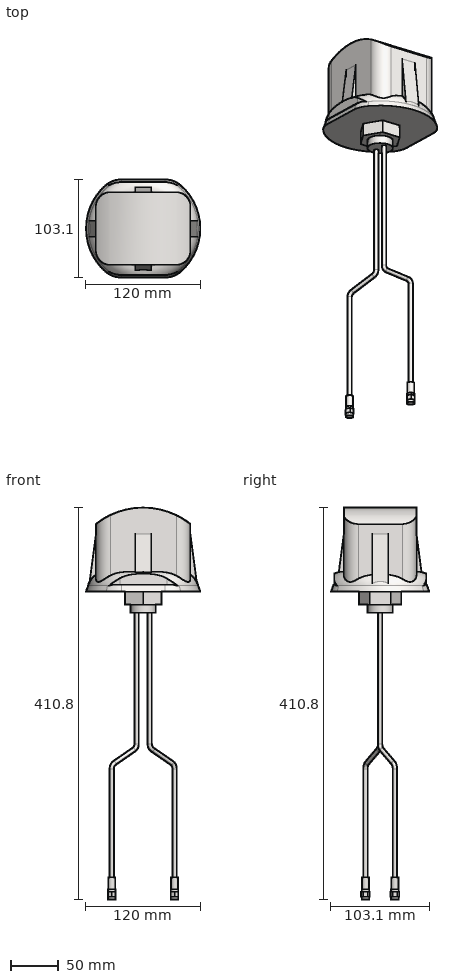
import cadquery as cq
import math


overall_height = 410.82

flange_radius = 60.0
flange_half_depth = 51.54
flange_corner_radius = 25.0
flange_height = 7.4
flange_draft = 20.0

stud_diameter = 26.7
stud_length = 22.2
nut_across_flats = 38.5
nut_height = 13.6

skirt_radius = 58.0
skirt_half_depth = 48.3
skirt_corner_radius = 22.0
skirt_top = 20.9
skirt_fillet = 18.0
body_half_width = 49.5
body_half_depth = 38.1
body_corner_radius = 15.0
crown_top = 88.2
crown_side = 70.8
rib_width = 16.8
rib_top = 60.6
rib_slope = 7.6

cable_diameter = 4.8
cable_spacing = 13.7
cable_end_x = 32.9
cable_end_y = 15.4
cable_upper_bend = -163.5
cable_lower_bend = -181.5
cable_bend_radius = 7.0

connector_bottom = crown_top - overall_height
sleeve_diameter = 7.7
sleeve_length = 12.6
collar_diameter = 8.2
collar_length = 2.6
hexagon_across_flats = 8.2
hexagon_length = 5.0
tip_diameter = 8.2
tip_length = 3.0
connector_top = connector_bottom + tip_length + hexagon_length + collar_length + sleeve_length


def clipped_disc(radius, half_depth, corner_radius):
    """Closed outline of a disc cut by two flats parallel to X, with rounded corners."""
    center_y = half_depth - corner_radius
    center_x = math.sqrt((radius - corner_radius) ** 2 - center_y**2)
    stretch = radius / (radius - corner_radius)
    end_x = center_x * stretch
    end_y = center_y * stretch
    return (
        cq.Workplane("XY")
        .moveTo(-center_x, half_depth)
        .lineTo(center_x, half_depth)
        .radiusArc((end_x, end_y), corner_radius)
        .threePointArc((radius, 0), (end_x, -end_y))
        .radiusArc((center_x, -half_depth), corner_radius)
        .lineTo(-center_x, -half_depth)
        .radiusArc((-end_x, -end_y), corner_radius)
        .threePointArc((-radius, 0), (-end_x, end_y))
        .radiusArc((-center_x, half_depth), corner_radius)
        .close()
    )


def hexagon(across_flats, bottom, height):
    """Upright hexagonal prism with two flats facing +X and -X."""
    half_side_angle = 30
    across_corners = across_flats / math.cos(math.radians(half_side_angle))
    prism = cq.Workplane("XY").polygon(6, across_corners).extrude(height)
    return prism.rotate((0, 0, 0), (0, 0, 1), half_side_angle).translate((0, 0, bottom))


def make_flange():
    """Plate with a sloping rim, widest at its underside."""
    flange = clipped_disc(flange_radius, flange_half_depth, flange_corner_radius)
    return flange.extrude(flange_height, taper=flange_draft)


def make_stud():
    return cq.Workplane("XY").circle(stud_diameter / 2).extrude(-stud_length)


def make_nut():
    bore = cq.Workplane("XY").circle(stud_diameter / 2).extrude(-nut_height)
    return hexagon(nut_across_flats, -nut_height, nut_height).cut(bore)


def make_skirt():
    """Low rounded drum, trimmed to flat front and back walls."""
    drum = cq.Workplane("XY").circle(skirt_radius).extrude(skirt_top)
    drum = drum.faces(">Z").edges().fillet(skirt_fillet)
    trim = clipped_disc(skirt_radius, skirt_half_depth, skirt_corner_radius).extrude(skirt_top)
    return drum.intersect(trim)


def make_body():
    """Upright block with rounded corners under a crown that is an arc across X."""
    block = (
        cq.Workplane("XY")
        .rect(2 * body_half_width, 2 * body_half_depth)
        .extrude(crown_top)
        .edges("|Z")
        .fillet(body_corner_radius)
    )
    crown = (
        cq.Workplane("XZ")
        .moveTo(-body_half_width, 0)
        .lineTo(-body_half_width, crown_side)
        .threePointArc((0, crown_top), (body_half_width, crown_side))
        .lineTo(body_half_width, 0)
        .close()
        .extrude(body_half_depth, both=True)
    )
    return block.intersect(crown)


def make_rib_pair(half_span, wall):
    """Slab that tapers out from two opposite faces down to the flange."""
    reach = half_span + (rib_top - flange_height) * math.tan(math.radians(rib_slope))
    return (
        cq.Workplane(wall)
        .moveTo(-half_span, rib_top)
        .lineTo(half_span, rib_top)
        .lineTo(reach, flange_height)
        .lineTo(-reach, flange_height)
        .close()
        .extrude(rib_width / 2, both=True)
    )


def make_housing():
    housing = make_flange().union(make_skirt()).union(make_body())
    housing = housing.union(make_rib_pair(body_half_width, "XZ"))
    return housing.union(make_rib_pair(body_half_depth, "YZ"))


def make_cable(side):
    """Round cable with a dogleg; side is +1 or -1 and turns it half way round the Z axis."""
    start = cq.Vector(side * cable_spacing / 2, 0, -stud_length)
    upper = cq.Vector(side * cable_spacing / 2, 0, cable_upper_bend)
    lower = cq.Vector(side * cable_end_x, side * cable_end_y, cable_lower_bend)
    end = cq.Vector(side * cable_end_x, side * cable_end_y, connector_top)

    down = cq.Vector(0, 0, -1)
    slant = (lower - upper).normalized()
    turn = down.getAngle(slant)
    setback = cable_bend_radius * math.tan(turn / 2)
    bulge = cable_bend_radius * (1 / math.cos(turn / 2) - 1)
    inward = (slant - down).normalized()

    path = cq.Wire.assembleEdges([
        cq.Edge.makeLine(start, upper - down * setback),
        cq.Edge.makeThreePointArc(upper - down * setback, upper + inward * bulge, upper + slant * setback),
        cq.Edge.makeLine(upper + slant * setback, lower - slant * setback),
        cq.Edge.makeThreePointArc(lower - slant * setback, lower - inward * bulge, lower + down * setback),
        cq.Edge.makeLine(lower + down * setback, end),
    ])
    profile = cq.Workplane("XY", origin=start.toTuple()).circle(cable_diameter / 2)
    return profile.sweep(cq.Workplane(path))


def make_connector(side):
    hexagon_bottom = connector_bottom + tip_length
    collar_bottom = hexagon_bottom + hexagon_length
    sleeve_bottom = collar_bottom + collar_length

    def disc(diameter, bottom, length):
        return cq.Workplane("XY").circle(diameter / 2).extrude(length).translate((0, 0, bottom))

    connector = (
        disc(tip_diameter, connector_bottom, tip_length)
        .union(hexagon(hexagon_across_flats, hexagon_bottom, hexagon_length))
        .union(disc(collar_diameter, collar_bottom, collar_length))
        .union(disc(sleeve_diameter, sleeve_bottom, sleeve_length))
    )
    return connector.translate((side * cable_end_x, side * cable_end_y, 0))


housing = make_housing()
stud = make_stud()
nut = make_nut()
cables = [make_cable(side) for side in (-1, 1)]
connectors = [make_connector(side) for side in (-1, 1)]

bodies = [housing, stud, nut, *cables, *connectors]
result = cq.Compound.makeCompound([body.val() for body in bodies])